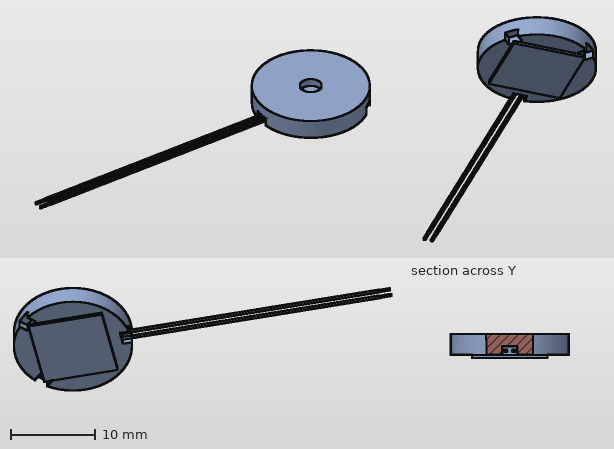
import cadquery as cq

total_height = 2.85
disc_diameter = 14.0
disc_radius = disc_diameter / 2
plate_side = 8.9
plate_thickness = 0.35
disc_thickness = total_height - plate_thickness

hole_diameter = 2.6
hole_depth = 1.0

notch_width = 1.75
notch_height = 1.0
notch_depth = 1.15
notch_angles = [-90, 45, 135]

wire_diameter = 0.34
tip_diameter = 0.27
tip_length = 1.35
wire_spacing = 0.9
wire_height = notch_height / 2
total_length = 45.5
wire_end_y = disc_radius - total_length
wire_embed = 0.25
wire_start_y = -(disc_radius - notch_depth) + wire_embed


def make_notch(angle):
    """Box cutter on the rim, reaching inwards by the notch depth."""
    inner_radius = disc_radius - notch_depth
    return (
        cq.Workplane("XY")
        .box(2 * notch_depth, notch_width, notch_height, centered=(False, True, False))
        .translate((inner_radius, 0, 0))
        .rotate((0, 0, 0), (0, 0, 1), angle)
    )


def make_wire(x):
    """One straight wire along -Y: insulated length followed by a bare tip."""
    insulated_length = wire_start_y - wire_end_y - tip_length
    return (
        cq.Workplane("XZ", origin=(x, wire_start_y, wire_height))
        .circle(wire_diameter / 2)
        .extrude(insulated_length)
        .faces("<Y")
        .workplane()
        .circle(tip_diameter / 2)
        .extrude(tip_length)
    )


disc = cq.Workplane("XY").circle(disc_radius).extrude(disc_thickness)
for notch_angle in notch_angles:
    disc = disc.cut(make_notch(notch_angle))

plate = cq.Workplane("XY").rect(plate_side, plate_side).extrude(-plate_thickness)
body = disc.union(plate)

body = body.faces(">Z").workplane().hole(hole_diameter, hole_depth)

for side in (-1, 1):
    body = body.union(make_wire(side * wire_spacing / 2))

result = body